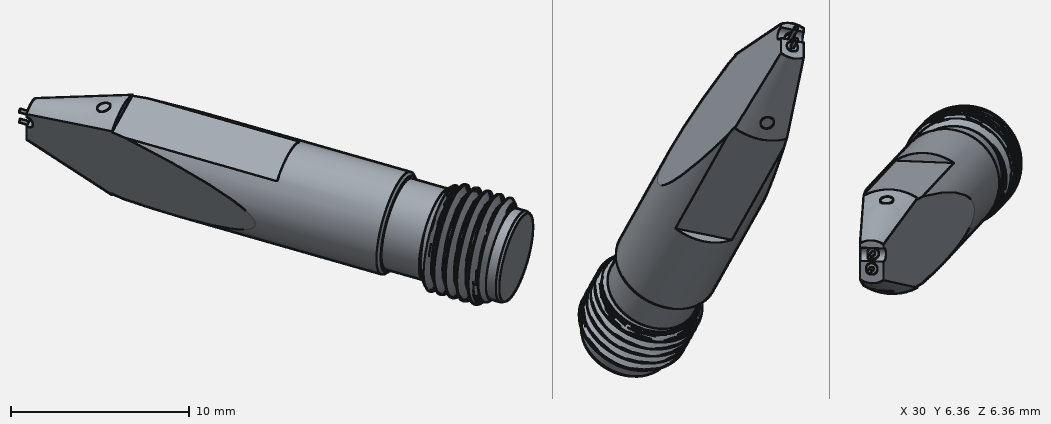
import cadquery as cq
import math

length = 30.0

body_radius = 3.0
nose_start = 0.65
nose_radius = 1.23
nose_end = 6.18
body_end = 22.92
body_chamfer = 0.18
neck_radius = 2.67
end_chamfer_length = 0.18
end_chamfer_depth = 0.1

tip_width = 1.35
wedge_half_width = tip_width / 2
wedge_end = 15.42
flat_height = 2.5
flat_end = 16.2

pin_diameter = 0.23
pin_spacing = 0.8
pin_height = pin_spacing / 2
pin_bore_diameter = 0.65
recess_depth = 0.03
notch_diameter = 0.75
notch_end = 1.08
side_hole_diameter = 0.75
side_hole_x = 5.07

thread_radius = 3.18
thread_start = 25.17
thread_end = 29.22
pitch = 0.7
crest_width = 0.05
crest_below_axis_x = 25.77
clearance = 0.015
flank_steps = 8
runout_turns = 2
flank_angle = math.radians(30)


def revolved(outline):
    """Turn a closed (X, radius) outline about the X axis."""
    return cq.Workplane("XY").polyline(outline).close().revolve(360, (0, 0, 0), (1, 0, 0))


def turned_body():
    """Conical nose, cylindrical body and the thinner neck up to the thread."""
    outline = [
        (nose_start, 0),
        (nose_start, nose_radius),
        (nose_end, body_radius),
        (body_end - body_chamfer, body_radius),
        (body_end, body_radius - body_chamfer),
        (body_end, neck_radius),
        (thread_start, neck_radius),
        (thread_start, 0),
    ]
    return revolved(outline)


def rear_collar():
    """Plain end behind the thread, chamfered at the rear face."""
    outline = [
        (thread_end, 0),
        (thread_end, neck_radius),
        (length - end_chamfer_length, neck_radius),
        (length, neck_radius - end_chamfer_depth),
        (length, 0),
    ]
    return revolved(outline)


def wedge_cut(side):
    """Material outside one sloping flat; side is +1 or -1 along Y."""
    slope = (body_radius - wedge_half_width) / (wedge_end - nose_start)
    front_half_width = wedge_half_width - slope * nose_start
    outline = [
        (0, side * front_half_width),
        (wedge_end, side * body_radius),
        (wedge_end, side * 2 * body_radius),
        (0, side * 2 * body_radius),
    ]
    return cq.Workplane("XY").polyline(outline).close().extrude(body_radius, both=True)


def wrench_flat_cut(side):
    """Material outside one flat parallel to the axis; side is +1 or -1 along Z."""
    flat_length = flat_end - nose_end
    flat = cq.Workplane("XY").box(flat_length, 2 * body_radius, body_radius)
    return flat.translate((nose_end + flat_length / 2, 0, side * (flat_height + body_radius / 2)))


def side_recess(body, side):
    """Shallow round recess whose floor follows the nose cone; side is +1 or -1 along Z."""
    plug = (
        cq.Workplane("XY")
        .center(side_hole_x, 0)
        .circle(side_hole_diameter / 2)
        .extrude(side * body_radius)
    )
    return plug.cut(body.translate((0, 0, -side * recess_depth)))


def notch():
    """Round-bottomed notch through the tip around the upper pin."""
    radius = notch_diameter / 2
    arc_x = notch_end - radius
    return (
        cq.Workplane("XZ")
        .moveTo(0, pin_height - radius)
        .lineTo(arc_x, pin_height - radius)
        .threePointArc((notch_end, pin_height), (arc_x, pin_height + radius))
        .lineTo(0, pin_height + radius)
        .close()
        .extrude(body_radius, both=True)
    )


def pin_rod(diameter, height, end):
    """Cylinder along X from the pin tips to the given end."""
    return cq.Workplane("YZ").center(0, height).circle(diameter / 2).extrude(end)


def polar(radius, angle):
    """Point at an angle given in radians."""
    return (radius * math.cos(angle), radius * math.sin(angle))


def thread_section():
    """Cross-section of the thread: crest and root arcs joined by spiral flanks."""
    crest_angle = math.pi * crest_width / pitch
    flank_width = crest_width / 2 + (thread_radius - neck_radius) * math.tan(flank_angle)
    root_angle = 2 * math.pi * flank_width / pitch

    def flank(start_fraction, direction):
        points = []
        for step in range(1, flank_steps + 1):
            share = abs(start_fraction - step / flank_steps)
            radius = thread_radius + share * (neck_radius - thread_radius)
            angle = crest_angle + share * (root_angle - crest_angle)
            points.append(polar(radius, direction * angle))
        return points

    return (
        cq.Workplane("XY")
        .moveTo(*polar(thread_radius, -crest_angle))
        .threePointArc(polar(thread_radius, 0), polar(thread_radius, crest_angle))
        .spline(flank(0, 1), includeCurrent=True)
        .threePointArc(polar(neck_radius, math.pi), polar(neck_radius, -root_angle))
        .spline(flank(1, -1), includeCurrent=True)
        .close()
    )


def thread():
    """Right-hand screw trimmed by chamfers at both ends."""
    turns = math.ceil((thread_end - thread_start) / pitch) + runout_turns
    screw = thread_section().twistExtrude(turns * pitch, 360 * turns)
    screw = screw.rotate((0, 0, 0), (0, 1, 0), 90)
    screw = screw.translate((crest_below_axis_x - runout_turns * pitch, 0, 0))

    start_radius = neck_radius - clearance
    outer_radius = thread_radius + clearance
    chamfer = outer_radius - start_radius
    envelope = revolved([
        (thread_start, 0),
        (thread_start, start_radius),
        (thread_start + chamfer, outer_radius),
        (thread_end - chamfer, outer_radius),
        (thread_end, start_radius),
        (thread_end, 0),
    ])
    return screw.intersect(envelope)


front = turned_body()
result = front
for side in (1, -1):
    result = result.cut(side_recess(front, side))
    result = result.cut(wedge_cut(side)).cut(wrench_flat_cut(side))

result = result.cut(notch())
for height, seat in ((pin_height, notch_end), (-pin_height, nose_start)):
    bore_end = seat + recess_depth
    result = result.cut(pin_rod(pin_bore_diameter, height, bore_end))
    result = result.union(pin_rod(pin_diameter, height, bore_end + pin_diameter))

result = result.union(thread()).union(rear_collar())